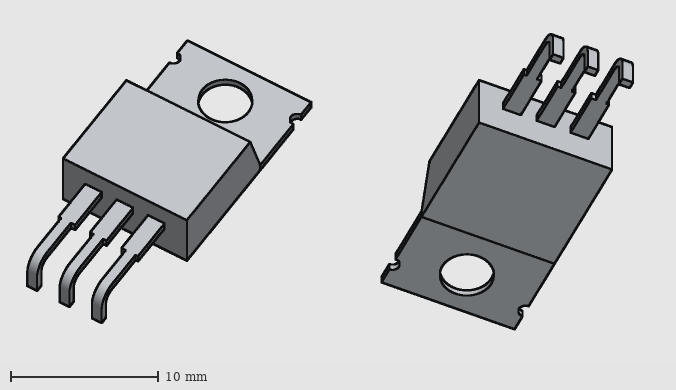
import cadquery as cq

package_width = 9.98
package_length = 23.42

block_height = 4.45
block_back_y = -6.46
slope_top_y = -7.73
block_front_y = -15.75

tab_thickness = 0.56
hole_y = -3.05
hole_diameter = 3.68
notch_y = -1.78
notch_radius = 0.5

lead_thickness = 0.56
lead_top_z = 2.88
lead_bottom_z = lead_top_z - lead_thickness
root_width = 1.33
root_pitch = 2.53
root_end_y = -19.13
tip_width = 0.8
tip_pitch = 2.6
bend_outer_radius = 1.29
bend_inner_radius = bend_outer_radius - lead_thickness
tip_end_y = -package_length


def make_block():
    """Block with its sloped face rising from the top of the tab."""
    profile = [
        (block_back_y, 0),
        (block_back_y, tab_thickness),
        (slope_top_y, block_height),
        (block_front_y, block_height),
        (block_front_y, 0),
    ]
    return cq.Workplane("YZ").polyline(profile).close().extrude(package_width / 2, both=True)


def make_tab():
    """Flat plate with a screw hole and a round notch in each side edge."""
    plate = (
        cq.Workplane("XY")
        .box(package_width, -block_back_y, tab_thickness, centered=(True, False, False))
        .translate((0, block_back_y, 0))
    )
    screw_hole = cq.Workplane("XY").center(0, hole_y).circle(hole_diameter / 2).extrude(tab_thickness)
    notches = (
        cq.Workplane("XY")
        .pushPoints([(-package_width / 2, notch_y), (package_width / 2, notch_y)])
        .circle(notch_radius)
        .extrude(tab_thickness)
    )
    return plate.cut(screw_hole).cut(notches)


def make_root(x):
    """Straight wide part of a lead, centred on x."""
    return (
        cq.Workplane("XY")
        .box(root_width, block_front_y - root_end_y, lead_thickness, centered=(True, False, False))
        .translate((x, root_end_y, lead_bottom_z))
    )


def make_tip(x):
    """Narrow part of a lead, centred on x, that bends down to the bottom plane."""
    bend_y = tip_end_y + bend_outer_radius
    bend_z = lead_top_z - bend_outer_radius
    return (
        cq.Workplane("YZ")
        .moveTo(root_end_y, lead_top_z)
        .lineTo(bend_y, lead_top_z)
        .radiusArc((tip_end_y, bend_z), -bend_outer_radius)
        .lineTo(tip_end_y, 0)
        .lineTo(tip_end_y + lead_thickness, 0)
        .lineTo(tip_end_y + lead_thickness, bend_z)
        .radiusArc((bend_y, lead_bottom_z), bend_inner_radius)
        .lineTo(root_end_y, lead_bottom_z)
        .close()
        .extrude(tip_width / 2, both=True)
        .translate((x, 0, 0))
    )


def make_housing():
    """Moulded block and its three leads as one solid."""
    housing = make_block()
    for position in (-1, 0, 1):
        housing = housing.union(make_root(position * root_pitch))
        housing = housing.union(make_tip(position * tip_pitch))
    return housing


tab = make_tab()
housing = make_housing()

result = cq.Compound.makeCompound([tab.val(), housing.val()])